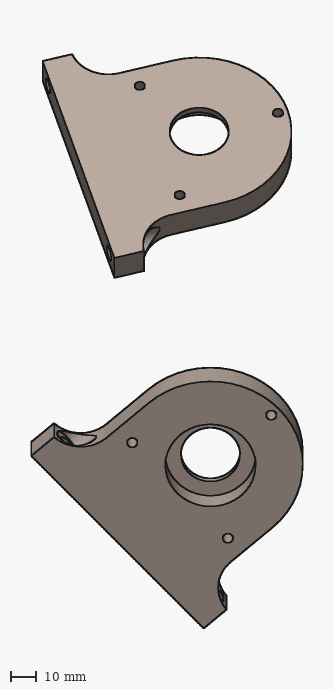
import cadquery as cq

base_width = 100.0
thickness = 13.0
head_radius = 36.0
head_center_y = 49.0
flare_radius = 15.0
flare_center_x = head_radius + flare_radius
flare_center_y = 27.0

bore_diameter = 23.0
recess_diameter = 35.2
lip_thickness = 3.0

small_hole_diameter = 4.0
small_hole_circle_radius = 32.0
small_hole_count = 3

mount_hole_diameter = 6.1
mount_spacing = 85.0
head_clearance_diameter = 11.5
head_seat_y = 12.0


def plate():
    head_block = (
        cq.Workplane("XY")
        .rect(2 * head_radius, head_center_y)
        .extrude(thickness)
        .translate((0, head_center_y / 2, 0))
    )
    head = cq.Workplane("XY").center(0, head_center_y).circle(head_radius).extrude(thickness)
    foot = (
        cq.Workplane("XY")
        .rect(base_width, flare_center_y)
        .extrude(thickness)
        .translate((0, flare_center_y / 2, 0))
    )
    flares = (
        cq.Workplane("XY")
        .pushPoints([(side * flare_center_x, flare_center_y) for side in (-1, 1)])
        .circle(flare_radius)
        .extrude(thickness)
    )
    return head.union(head_block).union(foot.cut(flares))


def stepped_bore():
    head_plane = cq.Workplane("XY").center(0, head_center_y)
    bore = head_plane.circle(bore_diameter / 2).extrude(thickness)
    recess = head_plane.circle(recess_diameter / 2).extrude(thickness - lip_thickness)
    return bore.union(recess)


def small_holes():
    return (
        cq.Workplane("XY")
        .center(0, head_center_y)
        .polarArray(small_hole_circle_radius, 90, 360, small_hole_count)
        .circle(small_hole_diameter / 2)
        .extrude(thickness)
    )


def cylinders_along_y(diameter, start_y, end_y):
    return (
        cq.Workplane("XZ", origin=(0, start_y, thickness / 2))
        .pushPoints([(side * mount_spacing / 2, 0) for side in (-1, 1)])
        .circle(diameter / 2)
        .extrude(start_y - end_y)
    )


mount_holes = cylinders_along_y(mount_hole_diameter, 0, flare_center_y)
head_clearances = cylinders_along_y(head_clearance_diameter, head_seat_y, flare_center_y)

result = plate().cut(stepped_bore()).cut(small_holes()).cut(mount_holes).cut(head_clearances)